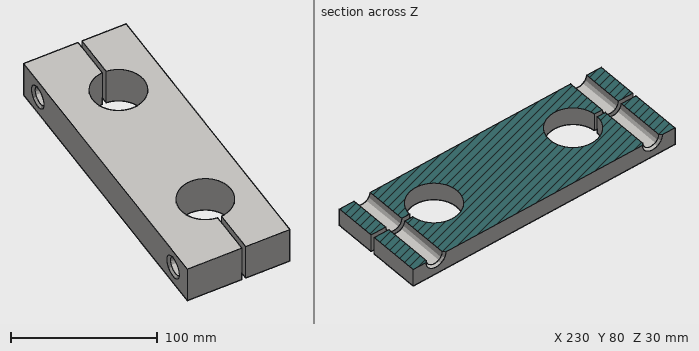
import cadquery as cq

length = 230.0
width = 80.0
height = 30.0

bore_diameter = 40.0
bore_spacing = 122.0
bore_y = 4.0

slit_width = 3.0

screw_hole_diameter = 13.84
countersink_diameter = 17.5
countersink_angle = 90.0
screw_end_distance = 20.0

bore_x = bore_spacing / 2
screw_x = length / 2 - screw_end_distance
slit_length = length / 2 - bore_x


def make_block():
    """Plain rectangular block centred on the origin."""
    return cq.Workplane("XY").box(length, width, height)


def cut_bores(body):
    """Two vertical through bores."""
    return (
        body.faces(">Z")
        .workplane(origin=(0, 0, 0))
        .pushPoints([(-bore_x, bore_y), (bore_x, bore_y)])
        .hole(bore_diameter)
    )


def cut_slit(body, side):
    """Slit from a bore axis out to the end face; side is -1 or +1 along X."""
    slit = (
        cq.Workplane("XY")
        .box(slit_length, slit_width, height)
        .translate((side * (bore_x + slit_length / 2), bore_y, 0))
    )
    return body.cut(slit)


def drill_screw_holes(body):
    """Through holes along Y, countersunk on the -Y face."""
    return (
        body.faces("<Y")
        .workplane(origin=(0, 0, 0))
        .pushPoints([(-screw_x, 0), (screw_x, 0)])
        .cskHole(screw_hole_diameter, countersink_diameter, countersink_angle)
    )


result = cut_bores(make_block())
for end_side in (-1, 1):
    result = cut_slit(result, end_side)
result = drill_screw_holes(result)